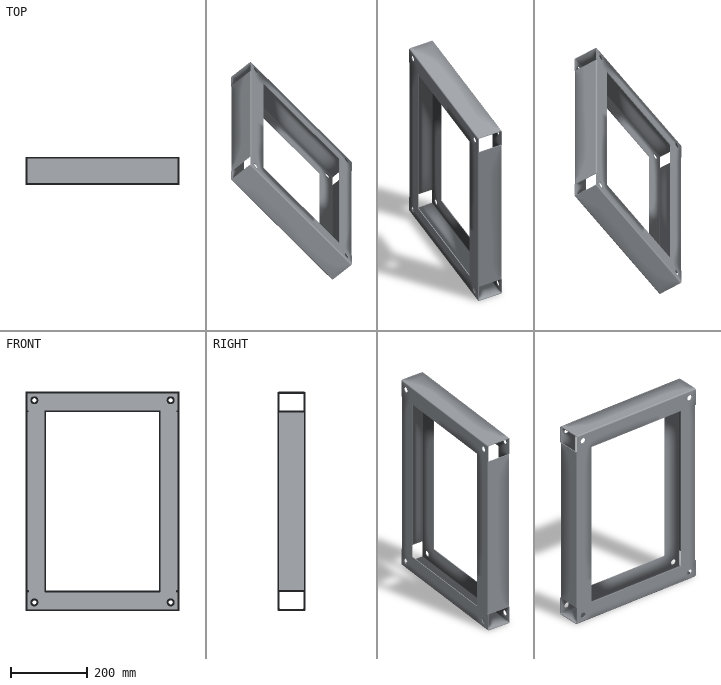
import cadquery as cq

frame_width = 400.0
frame_depth = 70.0
frame_height = 573.0

sheet_thickness = 2.0
inner_bend_radius = 1.5
outer_bend_radius = inner_bend_radius + sheet_thickness

flange_width = 50.0
side_web_length = frame_height - 2 * flange_width

relief_depth = 4.0
relief_width = 0.2

hole_diameter = 15.5
hole_edge_distance = 20.75


def channel(length):
    """U channel along X: web on top at Z = 0, flanges hanging down, centred on X and Y."""
    outer = (
        cq.Workplane("XY")
        .box(length, frame_depth, flange_width, centered=(True, True, False))
        .translate((0, 0, -flange_width))
        .edges("|X and >Z")
        .fillet(outer_bend_radius)
    )
    inner = (
        cq.Workplane("XY")
        .box(length, frame_depth - 2 * sheet_thickness, flange_width, centered=(True, True, False))
        .translate((0, 0, -flange_width - sheet_thickness))
        .edges("|X and >Z")
        .fillet(inner_bend_radius)
    )
    return outer.cut(inner)


def end_rails():
    """Full-width top and bottom channels, open at both ends."""
    top = channel(frame_width).translate((0, 0, frame_height / 2))
    return top.union(top.mirror("XY"))


def side_rails():
    """Shorter left and right channels that fit between the end rails."""
    right = (
        channel(side_web_length)
        .rotate((0, 0, 0), (0, 1, 0), 90)
        .translate((frame_width / 2, 0, 0))
    )
    return right.union(right.mirror("YZ"))


def corner_points(spacing_x, spacing_z):
    """Four points at the corners of a centred rectangle in the XZ plane."""
    return cq.Workplane("XZ").rect(spacing_x, spacing_z, forConstruction=True).vertices()


def bend_reliefs():
    """Notch cutters at both ends of each side web, reaching just past its bends."""
    return (
        corner_points(frame_width - relief_depth, side_web_length - relief_width)
        .rect(relief_depth, relief_width)
        .extrude(frame_depth / 2, both=True)
    )


def mounting_holes():
    """Corner hole cutters running through the front and back flanges."""
    return (
        corner_points(frame_width - 2 * hole_edge_distance, frame_height - 2 * hole_edge_distance)
        .circle(hole_diameter / 2)
        .extrude(frame_depth / 2, both=True)
    )


result = end_rails().union(side_rails()).cut(bend_reliefs()).cut(mounting_holes())